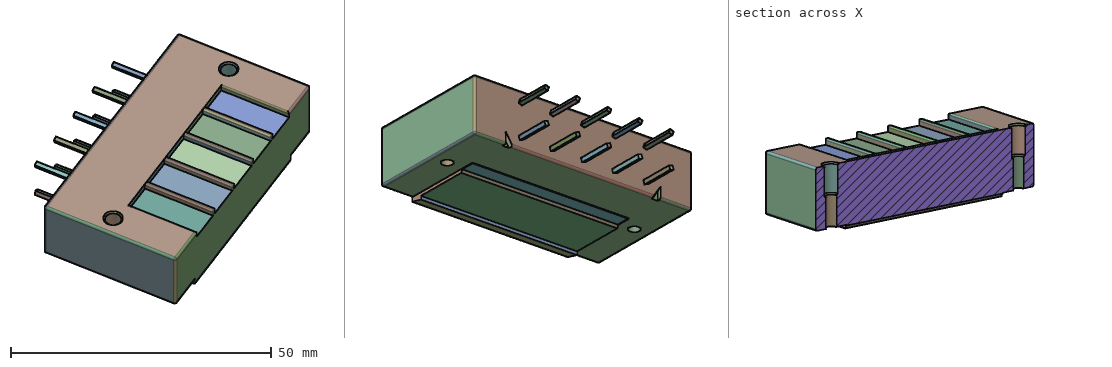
import cadquery as cq
import math

BODY_LENGTH = 29.0
BODY_WIDTH = 53.35
BODY_HEIGHT = 12.7
BODY_EDGE_RADIUS = 0.5

PIN_PITCH = 7.65
PINS_PER_ROW = 5
PIN_LENGTH = 8.0
PIN_SIDE = 0.9
PIN_TWIST = 20.0
UPPER_PIN_Z = BODY_HEIGHT - 2.55
LOWER_PIN_Z = UPPER_PIN_Z - PIN_PITCH

HOLE_X = 13.2
HOLE_Y = 22.9
UPPER_BORE_DIAMETER = 3.15
LOWER_BORE_DIAMETER = 2.5
SHOULDER_Z = BODY_HEIGHT / 2
HOLE_RIM_CHAMFER = 0.3

RECESS_START_X = 14.1
RECESS_WIDTH = 36.5
RECESS_DEPTH = 1.3
RECESS_EDGE_RADIUS = 0.3
RIB_WIDTH = 0.9
RIB_END_RADIUS = 0.15
RIB_COUNT = PINS_PER_ROW - 1

CLIP_WIDTH = 38.2
CLIP_START_X = 10.15
CLIP_STEP_X = 13.35
CLIP_STEP_RUN = 0.3
CLIP_THIN = 0.15
CLIP_THICK = 0.8
HOOK_X = 26.15
HOOK_DROP = 1.6
HOOK_END_DROP = 0.9
CLIP_CORNER_RADIUS = 0.15

NOTCH_OUTER_Y = 18.95
NOTCH_WIDTH = 1.7
NOTCH_HEIGHT = 2.65
NOTCH_DEPTH = 0.9
NOTCH_INNER_SCALE = 0.85


def centred_positions(count, pitch):
    """Evenly spaced positions, symmetric about zero."""
    return [(i - (count - 1) / 2) * pitch for i in range(count)]


def make_body():
    body = cq.Workplane("XY").box(BODY_LENGTH, BODY_WIDTH, BODY_HEIGHT, centered=(False, True, False))
    return body.edges().fillet(BODY_EDGE_RADIUS)


def make_recess():
    """Recess cutter whose side walls flare into rounded top edges."""
    half_width = RECESS_WIDTH / 2
    floor_z = BODY_HEIGHT - RECESS_DEPTH
    round_z = BODY_HEIGHT - RECESS_EDGE_RADIUS
    rim_y = half_width + RECESS_EDGE_RADIUS
    arc_offset = RECESS_EDGE_RADIUS * (1 - math.sqrt(0.5))
    arc_y = half_width + arc_offset
    arc_z = BODY_HEIGHT - arc_offset
    return (
        cq.Workplane("YZ", origin=(RECESS_START_X, 0, 0))
        .moveTo(-half_width, floor_z)
        .lineTo(half_width, floor_z)
        .lineTo(half_width, round_z)
        .threePointArc((arc_y, arc_z), (rim_y, BODY_HEIGHT))
        .lineTo(-rim_y, BODY_HEIGHT)
        .threePointArc((-arc_y, arc_z), (-half_width, round_z))
        .close()
        .extrude(BODY_LENGTH - RECESS_START_X)
    )


def make_rib(y):
    """Divider standing on the recess floor, rounded along its top."""
    return (
        cq.Workplane("XY", origin=(RECESS_START_X, y, BODY_HEIGHT - RECESS_DEPTH))
        .box(BODY_LENGTH - RECESS_START_X, RIB_WIDTH, RECESS_DEPTH, centered=(False, True, False))
        .edges("|X and >Z")
        .fillet(RECESS_EDGE_RADIUS)
        .edges(">X and >Z")
        .fillet(RIB_END_RADIUS)
    )


def make_hole(y):
    """Stepped hole cutter with a 45 degree shoulder and a chamfered upper rim."""
    upper_radius = UPPER_BORE_DIAMETER / 2
    lower_radius = LOWER_BORE_DIAMETER / 2
    shoulder_height = upper_radius - lower_radius
    rim_radius = upper_radius + HOLE_RIM_CHAMFER
    return (
        cq.Workplane("XZ", origin=(HOLE_X, y, 0))
        .lineTo(lower_radius, 0)
        .lineTo(lower_radius, SHOULDER_Z)
        .lineTo(upper_radius, SHOULDER_Z + shoulder_height)
        .lineTo(upper_radius, BODY_HEIGHT - HOLE_RIM_CHAMFER)
        .lineTo(rim_radius, BODY_HEIGHT)
        .lineTo(0, BODY_HEIGHT)
        .close()
        .revolve(360, (0, 0, 0), (0, 1, 0))
    )


def make_pin(y, z, twist):
    return (
        cq.Workplane("YZ", origin=(-PIN_LENGTH, y, z))
        .transformed(rotate=(0, 0, twist))
        .rect(PIN_SIDE, PIN_SIDE)
        .extrude(PIN_LENGTH + BODY_EDGE_RADIUS)
    )


def make_clip():
    """Clip plate with a stepped front and a hook at the +X end, rooted in the body."""
    profile = [
        (CLIP_START_X, BODY_EDGE_RADIUS),
        (CLIP_START_X, -CLIP_THIN),
        (CLIP_STEP_X, -CLIP_THIN),
        (CLIP_STEP_X + CLIP_STEP_RUN, -CLIP_THICK),
        (HOOK_X, -CLIP_THICK),
        (HOOK_X, -HOOK_DROP),
        (BODY_LENGTH, -HOOK_END_DROP),
        (BODY_LENGTH, BODY_EDGE_RADIUS),
    ]
    clip = cq.Workplane("XZ").polyline(profile).close().extrude(CLIP_WIDTH / 2, both=True)
    return clip.edges("|Z and >X").fillet(CLIP_CORNER_RADIUS)


def make_notch(side):
    """Triangular notch with an upright outer wall, narrowing inward from the pin face."""
    outer_y = side * NOTCH_OUTER_Y

    def triangle(scale):
        inner_y = side * (NOTCH_OUTER_Y - NOTCH_WIDTH * scale)
        return [(outer_y, 0), (outer_y, NOTCH_HEIGHT * scale), (inner_y, 0)]

    return (
        cq.Workplane("YZ")
        .polyline(triangle(1))
        .close()
        .workplane(offset=NOTCH_DEPTH)
        .polyline(triangle(NOTCH_INNER_SCALE))
        .close()
        .loft(ruled=True)
    )


result = make_body().cut(make_recess())

for rib_y in centred_positions(RIB_COUNT, PIN_PITCH):
    result = result.union(make_rib(rib_y))

for side in (-1, 1):
    result = result.cut(make_hole(side * HOLE_Y))
    result = result.cut(make_notch(side))

result = result.union(make_clip())

for pin_y in centred_positions(PINS_PER_ROW, PIN_PITCH):
    result = result.union(make_pin(pin_y, UPPER_PIN_Z, PIN_TWIST))
    result = result.union(make_pin(pin_y, LOWER_PIN_Z, -PIN_TWIST))